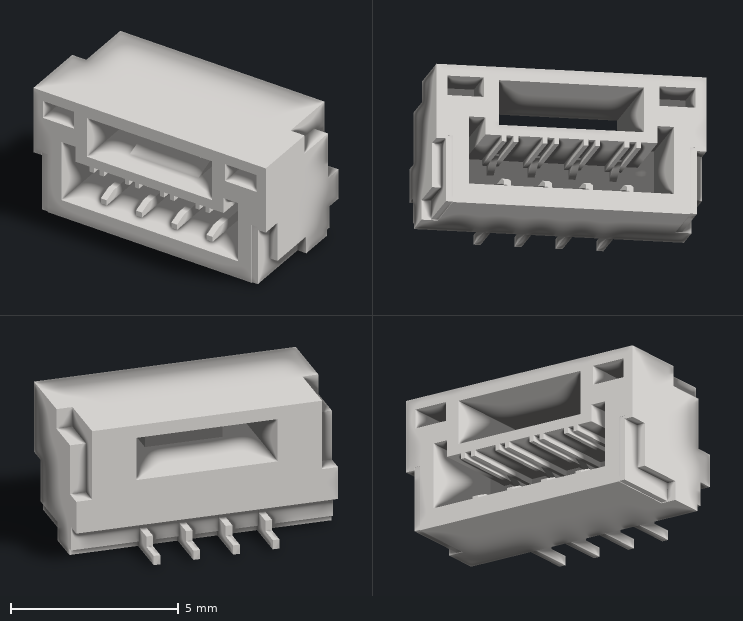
import cadquery as cq


width = 8.25
height = 4.25
total_depth = 4.95
housing_depth = 4.05
half_width = width / 2

overhang_bottom = 0.97
rear_wall_y = 3.55
foot_height = 0.21
foot_back_y = 3.40

cavity_half_width = 3.13
cavity_floor = 0.60
cavity_ceiling = 2.14
cavity_depth = 3.0
key_inner_x = 2.63
key_top = 2.67

contact_count = 4
contact_pitch = 1.25
contact_thickness = 0.21
contact_positions = [
    (index - (contact_count - 1) / 2) * contact_pitch for index in range(contact_count)
]
blade_bottom = 0.67
blade_top = 1.01
blade_tip_top = 0.85
blade_tip_y = 0.39
blade_slope_length = 0.40
spring_tip_y = 2.2
spring_tip_bottom = 2.08
spring_root_bottom = 1.67

tail_bottom = 0.02
tail_top = 0.32
tail_shoulder_top = 0.66
tail_shoulder_y = 4.24
tail_shank_y = 3.59

rib_pair_width = 0.50
rib_bottom = 1.96

window_half_width = 2.22
window_bottom = 2.46
window_top = 3.84
ramp_half_width = 1.22
ramp_height = 0.39
ramp_front_y = 0.80
ramp_length = 1.00

pocket_inner_x = 2.68
pocket_outer_x = 3.79
pocket_bottom = 3.30
pocket_top = 3.90
pocket_depth = 1.5

rear_notch_width = 0.50
rear_notch_front_y = 2.16
rear_notch_floor = 3.61
rear_notch_leg_y = 3.46
rear_notch_bottom = 2.01

front_notch_width = 0.29
front_notch_depth = 0.65
front_notch_top = 1.96
front_notch_step = 0.60
front_notch_back_y = 2.25

tab_thickness = 0.21
tab_clearance = 0.02
tab_front_recess = 0.01
tab_slot_top = 2.06
tab_rear_gap_top = 0.40


def box(x_range, y_range, z_range):
    """Axis-aligned box between the given limits."""
    sizes = [limits[1] - limits[0] for limits in (x_range, y_range, z_range)]
    corner = (x_range[0], y_range[0], z_range[0])
    return cq.Workplane("XY").box(*sizes, centered=False).translate(corner)


def side_profile(points, x_start, thickness):
    """Extrude a closed (Y, Z) outline along +X from x_start."""
    return cq.Workplane("YZ", origin=(x_start, 0, 0)).polyline(points).close().extrude(thickness)


def with_mirror(shape):
    """The shape together with its mirror image across X = 0."""
    return shape.union(shape.mirror("YZ"))


def make_shell():
    """Housing block with its stepped rear underside."""
    outline = [
        (0, 0),
        (foot_back_y, 0),
        (foot_back_y, foot_height),
        (rear_wall_y, foot_height),
        (rear_wall_y, overhang_bottom),
        (housing_depth, overhang_bottom),
        (housing_depth, height),
        (0, height),
    ]
    return side_profile(outline, -half_width, width)


def make_cavity():
    """Mating cavity, raised at both ends by the keyways."""
    depth_range = (0, cavity_depth)
    main = box((-cavity_half_width, cavity_half_width), depth_range, (cavity_floor, cavity_ceiling))
    keyway = box((key_inner_x, cavity_half_width), depth_range, (cavity_floor, key_top))
    return main.union(with_mirror(keyway))


def make_window():
    """Latch window, open from front to back."""
    return box((-window_half_width, window_half_width), (0, housing_depth), (window_bottom, window_top))


def make_pocket():
    """Blind pocket in the +X half of the mating face."""
    return box((pocket_inner_x, pocket_outer_x), (0, pocket_depth), (pocket_bottom, pocket_top))


def make_rear_notch():
    """L-shaped notch in the +X rear upper corner."""
    outline = [
        (rear_notch_front_y, height),
        (rear_notch_front_y, rear_notch_floor),
        (rear_notch_leg_y, rear_notch_floor),
        (rear_notch_leg_y, rear_notch_bottom),
        (housing_depth, rear_notch_bottom),
        (housing_depth, height),
    ]
    return side_profile(outline, half_width - rear_notch_width, rear_notch_width)


def make_front_notch():
    """L-shaped notch in the +X lower front corner."""
    outline = [
        (0, 0),
        (front_notch_back_y, 0),
        (front_notch_back_y, front_notch_step),
        (front_notch_depth, front_notch_step),
        (front_notch_depth, front_notch_top),
        (0, front_notch_top),
    ]
    return side_profile(outline, half_width - front_notch_width, front_notch_width)


def make_tab_recess():
    """Clearance in front of, below and behind the +X solder tab."""
    tab_back_y = front_notch_back_y - tab_clearance
    outline = [
        (0, 0),
        (front_notch_back_y, 0),
        (front_notch_back_y, tab_rear_gap_top),
        (tab_back_y, tab_rear_gap_top),
        (tab_back_y, tab_clearance),
        (tab_front_recess, tab_clearance),
        (tab_front_recess, tab_slot_top),
        (0, tab_slot_top),
    ]
    tab_inner_x = half_width - front_notch_width - tab_thickness
    return side_profile(outline, tab_inner_x, tab_thickness)


def make_ramp():
    """Latch ramp rising toward the rear on the window floor."""
    ramp_back_y = ramp_front_y + ramp_length
    outline = [
        (ramp_front_y, window_bottom),
        (ramp_back_y, window_bottom),
        (ramp_back_y, window_bottom + ramp_height),
    ]
    return side_profile(outline, -ramp_half_width, 2 * ramp_half_width)


def make_ribs(x_center):
    """Pair of ceiling ribs with a contact-wide gap between them."""
    depth_range = (0, cavity_depth)
    height_range = (rib_bottom, cavity_ceiling)
    outer = rib_pair_width / 2
    inner = contact_thickness / 2
    left = box((x_center - outer, x_center - inner), depth_range, height_range)
    right = box((x_center + inner, x_center + outer), depth_range, height_range)
    return left.union(right)


def make_contact(x_center):
    """Mating blade, sloped upper spring and solder tail of one contact."""
    blade = [
        (blade_tip_y, blade_bottom),
        (cavity_depth, blade_bottom),
        (cavity_depth, blade_top),
        (blade_tip_y + blade_slope_length, blade_top),
        (blade_tip_y, blade_tip_top),
    ]
    spring = [
        (spring_tip_y, cavity_ceiling),
        (spring_tip_y, spring_tip_bottom),
        (cavity_depth, spring_root_bottom),
        (cavity_depth, cavity_ceiling),
    ]
    tail = [
        (foot_back_y, tail_bottom),
        (total_depth, tail_bottom),
        (total_depth, tail_top),
        (tail_shoulder_y, tail_top),
        (tail_shoulder_y, tail_shoulder_top),
        (tail_shank_y, tail_shoulder_top),
        (tail_shank_y, overhang_bottom),
        (foot_back_y, overhang_bottom),
    ]
    x_start = x_center - contact_thickness / 2
    contact = side_profile(blade, x_start, contact_thickness)
    contact = contact.union(side_profile(spring, x_start, contact_thickness))
    return contact.union(side_profile(tail, x_start, contact_thickness))


housing = make_shell().cut(make_cavity()).cut(make_window())
for side_cut in (make_pocket(), make_rear_notch(), make_front_notch(), make_tab_recess()):
    housing = housing.cut(with_mirror(side_cut))

result = housing.union(make_ramp())
for contact_x in contact_positions:
    result = result.union(make_ribs(contact_x)).union(make_contact(contact_x))